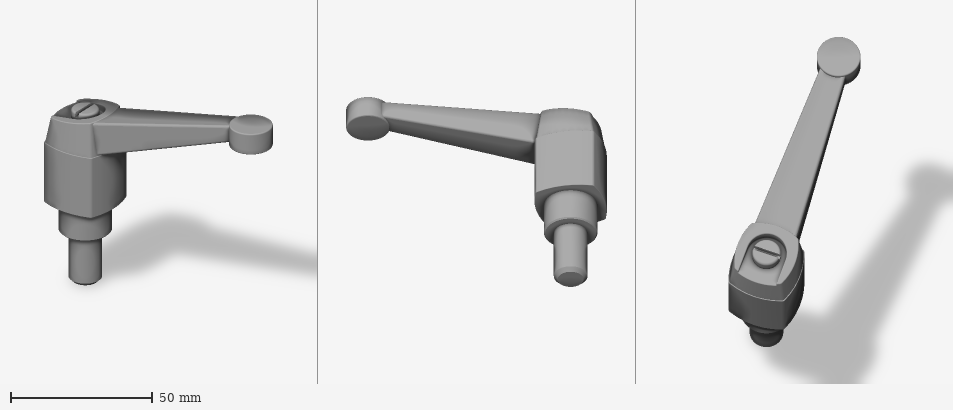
import cadquery as cq
import math

collar_bottom = 20.0
body_bottom = 32.1
body_top = 55.9
head_top_at_axis = 67.2
pocket_floor = 64.7
screw_top = 68.4
overall_height = 85.0

stud_diameter = 12.0
stud_chamfer = 1.4
collar_diameter = 19.0
collar_chamfer = 0.5

body_width = 25.1
side_bulge = 2.1
corner_radius = 1.4
body_edge_radius = 0.2

head_step = 0.3
head_top_width = 21.7
head_slant = 9.6
rim_radius = 0.4
mouth_radius = 0.3

pocket_width = 14.3
pocket_floor_radius = 0.4
screw_diameter = 10.0
screw_edge_radius = 0.8
slot_width = 1.5
slot_depth = 1.9

overall_length = 93.5
hub_radius = 7.8
hub_height = 8.2
hub_edge_radius = 0.5
hub_x = overall_length - body_width / 2 - hub_radius

arm_start_x = 4.7
arm_end_x = 69.2
arm_top_near_body = (9.8, 68.6)
arm_bottom_near_body = (12.25, 56.5)
arm_top_rise = 15.3
arm_bottom_rise = 21.2
arm_edge_radius = 0.8
arm_half_width_at_body = 7.7
arm_half_width_at_hub = 4.9


def bulged_square(plane, half_width):
    """Square outline whose four sides bow outward, centred on the given plane."""
    half_corner = half_width - side_bulge
    outline = plane.moveTo(-half_corner, -half_corner)
    outline = outline.threePointArc((0, -half_width), (half_corner, -half_corner))
    outline = outline.threePointArc((half_width, 0), (half_corner, half_corner))
    outline = outline.threePointArc((0, half_width), (-half_corner, half_corner))
    return outline.threePointArc((-half_width, 0), (-half_corner, -half_corner)).close()


def rounded_prism(plane, half_width, height):
    """Prism square to the plane, on the bulged square, with its corners rounded."""
    outline = bulged_square(plane, half_width)
    along_prism = cq.selectors.ParallelDirSelector(plane.plane.zDir)
    return outline.extrude(height).edges(along_prism).fillet(corner_radius)


def make_stud():
    stud = cq.Workplane("XY").circle(stud_diameter / 2).extrude(body_bottom)
    return stud.faces("<Z").chamfer(stud_chamfer)


def make_collar():
    collar = cq.Workplane("XY").workplane(offset=collar_bottom).circle(collar_diameter / 2)
    return collar.extrude(body_bottom - collar_bottom).faces("<Z").chamfer(collar_chamfer)


def make_body():
    base_plane = cq.Workplane("XY").workplane(offset=body_bottom)
    body = rounded_prism(base_plane, body_width / 2, body_top - body_bottom)
    return body.faces("<Z or >Z").edges().fillet(body_edge_radius)


def make_head():
    def outline_on(plane, half_width):
        prism = rounded_prism(plane, half_width, body_width)
        at_plane = cq.selectors.DirectionMinMaxSelector(plane.plane.zDir, False)
        return prism.faces(at_plane).wires().val()

    base_plane = cq.Workplane("XY").workplane(offset=body_top)
    slant_plane = cq.Workplane("XY").transformed(
        offset=(0, 0, head_top_at_axis), rotate=(0, -head_slant, 0)
    )
    base = outline_on(base_plane, body_width / 2 - head_step)
    top = outline_on(slant_plane, head_top_width / 2)
    head = cq.Workplane(cq.Solid.makeLoft([base, top], True)).cut(make_pocket())
    slanted_face = cq.selectors.DirectionMinMaxSelector(slant_plane.plane.zDir, True)
    head = head.faces(slanted_face).edges().fillet(rim_radius)
    pocket_mouth = head.faces(cq.selectors.NearestToPointSelector((0, 0, pocket_floor))).edges("<X")
    return pocket_mouth.fillet(mouth_radius)


def make_pocket():
    depth = overall_height - pocket_floor
    pocket = (
        cq.Workplane("XY")
        .workplane(offset=pocket_floor)
        .moveTo(-body_width, -pocket_width / 2)
        .lineTo(0, -pocket_width / 2)
        .threePointArc((pocket_width / 2, 0), (0, pocket_width / 2))
        .lineTo(-body_width, pocket_width / 2)
        .close()
        .extrude(depth)
    )
    return pocket.faces("<Z").edges().fillet(pocket_floor_radius)


def make_screw():
    height = screw_top - pocket_floor
    screw = cq.Workplane("XY").workplane(offset=pocket_floor).circle(screw_diameter / 2)
    screw = screw.extrude(height).faces(">Z").edges().fillet(screw_edge_radius)
    slot = cq.Workplane("XY").workplane(offset=screw_top)
    slot = slot.rect(slot_width, 2 * screw_diameter).extrude(-slot_depth)
    return screw.cut(slot)


def make_arm():
    def height_at(x, start, rise):
        return start[1] + (x - start[0]) * math.tan(math.radians(rise))

    def section(x, half_width):
        bottom = height_at(x, arm_bottom_near_body, arm_bottom_rise)
        top = height_at(x, arm_top_near_body, arm_top_rise)
        corners = [(-half_width, bottom), (half_width, bottom), (half_width, top), (-half_width, top)]
        return cq.Wire.makePolygon([cq.Vector(x, y, z) for y, z in corners], close=True)

    body_edge = body_width / 2
    hub_edge = hub_x - hub_radius
    narrowing = (arm_half_width_at_body - arm_half_width_at_hub) / (hub_edge - body_edge)
    start_half_width = arm_half_width_at_body + narrowing * (body_edge - arm_start_x)
    end_half_width = arm_half_width_at_hub - narrowing * (arm_end_x - hub_edge)
    sections = [section(arm_start_x, start_half_width), section(arm_end_x, end_half_width)]
    arm = cq.Workplane(cq.Solid.makeLoft(sections, True))
    lengthwise = "not #X"
    return arm.edges(lengthwise).fillet(arm_edge_radius)


def make_hub():
    hub = cq.Workplane("XY").workplane(offset=overall_height - hub_height).center(hub_x, 0)
    hub = hub.circle(hub_radius).extrude(hub_height)
    return hub.faces("<Z or >Z").edges().fillet(hub_edge_radius)


result = (
    make_stud()
    .union(make_collar())
    .union(make_body())
    .union(make_head())
    .union(make_arm())
    .union(make_hub())
    .cut(make_pocket())
    .union(make_screw())
)